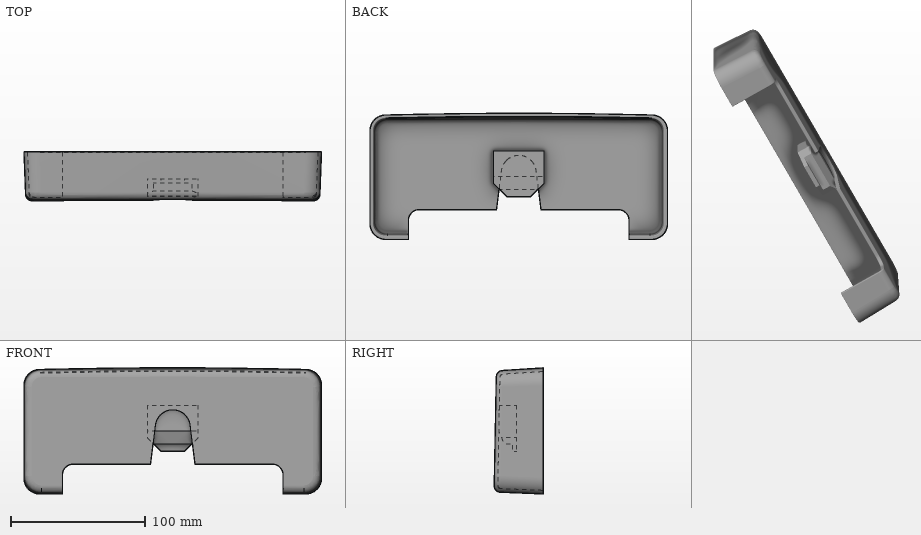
import cadquery as cq
import math

width = 221.91
height = 94.25
depth = 36.81
wall = 2.8

rim_crown = 1.3
front_crown = 0.2
corner_radius = 12.0
front_fillet = 5.0
edge_round = 0.6

side_draft = 1.4
top_draft = 1.4
bottom_draft = 1.5

front_lean = math.radians(1.1)
front_foot_z = 6.3

notch_width = 164.2
notch_height = 22.2
notch_radius = 7.8

slot_radius = 13.0
slot_top = 62.8
slot_flank = math.radians(7.0)

latch_width = 38.0
latch_top = 66.0
latch_bottom = 31.8
latch_flat_width = 17.6
ramp_top = 46.9
ramp_bottom = 37.3
ramp_depth = 4.0
step_depth = 6.0
lip_thickness = 3.0

overrun = 5.0


def rim_wire(y, inset):
    """Rounded outline with an arched top at position y, moved inward by inset."""
    drafted = (-y - edge_round) / depth
    half = width / 2 - side_draft * drafted - inset
    low = bottom_draft * drafted + inset
    shoulder = height - rim_crown - top_draft * drafted - inset
    high = shoulder + rim_crown + (front_crown - rim_crown) * drafted
    r = corner_radius - inset
    diagonal = r * (1 - math.sqrt(0.5))
    outline = (
        cq.Workplane("XZ", origin=(0, y, 0))
        .moveTo(-half + r, low)
        .lineTo(half - r, low)
        .threePointArc((half - diagonal, low + diagonal), (half, low + r))
        .lineTo(half, shoulder - r)
        .threePointArc((half - diagonal, shoulder - diagonal), (half - r, shoulder))
        .threePointArc((0, high), (-half + r, shoulder))
        .threePointArc((-half + diagonal, shoulder - diagonal), (-half, shoulder - r))
        .lineTo(-half, low + r)
        .threePointArc((-half + diagonal, low + diagonal), (-half + r, low))
        .close()
    )
    return outline.val()


def front_y(z, inset=0.0):
    """Y of the leaning front face, or of the surface lying inset behind it."""
    return -depth + inset + (z - front_foot_z) * math.tan(front_lean)


def block_behind_front(inset):
    """Everything behind the front face (moved back by inset)."""
    low = -overrun
    high = height + overrun
    return (
        cq.Workplane("YZ")
        .polyline([(front_y(low, inset), low), (overrun, low), (overrun, high), (front_y(high, inset), high)])
        .close()
        .extrude(width / 2 + overrun, both=True)
    )


def drafted_body(inset, fillet):
    """Drafted body trimmed by the front face, with a rounded front edge."""
    rims = [rim_wire(0, inset), rim_wire(-depth - overrun, inset)]
    body = cq.Workplane(cq.Solid.makeLoft(rims, True))
    return body.intersect(block_behind_front(inset)).faces("<Y").edges().fillet(fillet)


def bottom_notch():
    """Rounded opening cut through the bottom side over the full depth."""
    return (
        cq.Workplane("XZ", origin=(0, overrun, 0))
        .rect(notch_width, 2 * notch_height)
        .extrude(depth + 2 * overrun)
        .edges("|Y and >Z")
        .fillet(notch_radius)
    )


def round_open_edges(cover):
    """Round both edges of the wall along the back rim and around the bottom opening."""
    margin = 0.01
    half = notch_width / 2 + margin
    around_notch = cq.selectors.BoxSelector(
        (-half, -depth - margin, -margin),
        (half, margin, notch_height + margin),
    )
    seams = cq.selectors.ParallelDirSelector(cq.Vector(0, 1, 0))
    rim_edges = cover.faces(">Y").edges()
    notch_edges = cover.edges(around_notch - seams)
    return rim_edges.add(notch_edges).fillet(edge_round)


def finger_slot():
    """Round-topped slot with flaring flanks, cut through the front wall."""
    centre_z = slot_top - slot_radius
    tangent_x = slot_radius * math.cos(slot_flank)
    tangent_z = centre_z + slot_radius * math.sin(slot_flank)
    foot_x = tangent_x + tangent_z * math.tan(slot_flank)
    return (
        cq.Workplane("XZ", origin=(0, -depth / 2, 0))
        .moveTo(-foot_x, 0)
        .lineTo(-tangent_x, tangent_z)
        .threePointArc((0, slot_top), (tangent_x, tangent_z))
        .lineTo(foot_x, 0)
        .close()
        .extrude(depth)
    )


def latch():
    """Block on the inside of the front wall: ramp, step and a lip with cut corners."""
    ramp_y = front_y(ramp_top, wall)
    ramp_end = ramp_y + ramp_depth
    lip_front = ramp_end + step_depth
    lip_back = lip_front + lip_thickness
    profile = [
        (front_y(latch_top, wall), latch_top),
        (ramp_y, ramp_top),
        (ramp_end, ramp_bottom),
        (lip_front, ramp_bottom),
        (lip_front, latch_bottom),
        (lip_back, latch_bottom),
        (lip_back, latch_top),
    ]
    block = cq.Workplane("YZ").polyline(profile).close().extrude(latch_width / 2, both=True)
    half = latch_width / 2
    half_flat = latch_flat_width / 2
    cut_top = latch_bottom + half - half_flat
    outline = [
        (-half, latch_top),
        (-half, cut_top),
        (-half_flat, latch_bottom),
        (half_flat, latch_bottom),
        (half, cut_top),
        (half, latch_top),
    ]
    silhouette = cq.Workplane("XZ").polyline(outline).close().extrude(depth)
    return block.intersect(silhouette)


shell = drafted_body(0, front_fillet).cut(drafted_body(wall, front_fillet - wall))
shell = round_open_edges(shell.cut(bottom_notch()))
shell = shell.cut(finger_slot())
result = shell.union(latch())